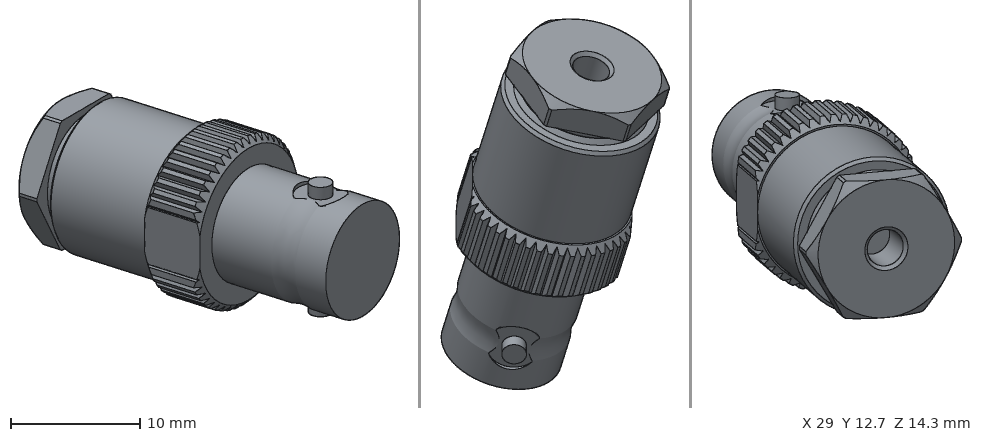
import cadquery as cq
import math

total_length = 28.95
body_diameter = 12.7

nut_length = 2.32
nut_across_flats = 11.1
nut_corner_diameter = 12.65
nut_chamfer_length = 0.67
cable_hole_diameter = 2.92
cable_hole_chamfer = 0.3

neck_diameter = 9.9
cone_start = 3.07
cone_length = 0.38
cone_small_diameter = 10.02
body_chamfer = 0.25

ring_start = 12.68
ring_length = 5.33
ring_diameter = 14.28
ring_chamfer = 0.65
tooth_count = 50
knurl_depth = 0.45
knurl_groove_angle = 60.0

tube_diameter = 9.61
pin_position = 24.9
pin_diameter = 1.9
pin_span = 11.1
spot_face_diameter = 4.25
spot_face_height = 4.5
waist_width = 2.3
waist_depth = 0.155

body_start = cone_start + cone_length
ring_end = ring_start + ring_length
cable_hole_depth = body_start + body_chamfer


def revolve_profile(profile):
    return profile.close().revolve(360, (0, 0, 0), (1, 0, 0))


def make_hex_nut():
    """Hexagon with flats on +Z and -Z, its corners turned round and its front chamfered."""
    circumscribed_diameter = nut_across_flats / math.cos(math.radians(30))
    hexagon = cq.Workplane("YZ").polygon(6, circumscribed_diameter).extrude(nut_length)
    turned_blank = revolve_profile(
        cq.Workplane("XY")
        .moveTo(0, 0)
        .lineTo(0, nut_across_flats / 2)
        .lineTo(nut_chamfer_length, nut_corner_diameter / 2)
        .lineTo(nut_length, nut_corner_diameter / 2)
        .lineTo(nut_length, 0)
    )
    return hexagon.intersect(turned_blank)


def make_body():
    """Neck, short cone and main barrel turned as one profile."""
    body_radius = body_diameter / 2
    cone_small_radius = cone_small_diameter / 2
    return revolve_profile(
        cq.Workplane("XY")
        .moveTo(nut_length, 0)
        .lineTo(nut_length, neck_diameter / 2)
        .lineTo(cone_start, neck_diameter / 2)
        .lineTo(cone_start, cone_small_radius)
        .lineTo(body_start, cone_small_radius + cone_length)
        .lineTo(body_start, body_radius - body_chamfer)
        .lineTo(body_start + body_chamfer, body_radius)
        .lineTo(ring_start, body_radius)
        .lineTo(ring_start, 0)
    )


def make_knurled_ring():
    """Chamfered ring with V grooves between its teeth and two wrench flats facing +Y and -Y."""
    ring_radius = ring_diameter / 2
    ring = (
        cq.Workplane("YZ", origin=(ring_start, 0, 0))
        .circle(ring_radius)
        .extrude(ring_length)
        .edges()
        .chamfer(ring_chamfer)
    )

    root_radius = ring_radius - knurl_depth
    cutter_radius = ring_radius + knurl_depth
    half_width = (cutter_radius - root_radius) * math.tan(math.radians(knurl_groove_angle / 2))
    cutter = (
        cq.Workplane("YZ", origin=(ring_start, 0, 0))
        .moveTo(0, root_radius)
        .lineTo(half_width, cutter_radius)
        .lineTo(-half_width, cutter_radius)
        .close()
        .extrude(ring_length)
        .val()
    )
    pitch = 360 / tooth_count
    cutters = [cutter.rotate((0, 0, 0), (1, 0, 0), (i + 0.5) * pitch) for i in range(tooth_count)]
    ring = cq.Workplane(ring.val().cut(*cutters))

    slab_between_flats = cq.Workplane("XY").box(2 * total_length, body_diameter, ring_diameter)
    return ring.intersect(slab_between_flats)


def make_tube():
    """Plain tube with a shallow rounded waist, two spot faces and a bayonet pin on each."""
    tube_radius = tube_diameter / 2
    tube = revolve_profile(
        cq.Workplane("XY")
        .moveTo(ring_end, 0)
        .lineTo(ring_end, tube_radius)
        .lineTo(pin_position - waist_width / 2, tube_radius)
        .threePointArc(
            (pin_position, tube_radius - waist_depth),
            (pin_position + waist_width / 2, tube_radius),
        )
        .lineTo(total_length, tube_radius)
        .lineTo(total_length, 0)
    )
    spot_face_top = (
        cq.Workplane("XY", origin=(pin_position, 0, spot_face_height))
        .circle(spot_face_diameter / 2)
        .extrude(tube_radius - spot_face_height)
    )
    spot_face_bottom = spot_face_top.mirror("XY")
    pins = (
        cq.Workplane("XY", origin=(pin_position, 0, 0))
        .circle(pin_diameter / 2)
        .extrude(pin_span / 2, both=True)
    )
    return tube.cut(spot_face_top).cut(spot_face_bottom).union(pins)


def make_cable_hole():
    """Blind cable hole with a chamfered mouth on the nut face."""
    hole_radius = cable_hole_diameter / 2
    return revolve_profile(
        cq.Workplane("XY")
        .moveTo(0, 0)
        .lineTo(0, hole_radius + cable_hole_chamfer)
        .lineTo(cable_hole_chamfer, hole_radius)
        .lineTo(cable_hole_depth, hole_radius)
        .lineTo(cable_hole_depth, 0)
    )


result = (
    make_hex_nut()
    .union(make_body())
    .union(make_knurled_ring())
    .union(make_tube())
    .cut(make_cable_hole())
)